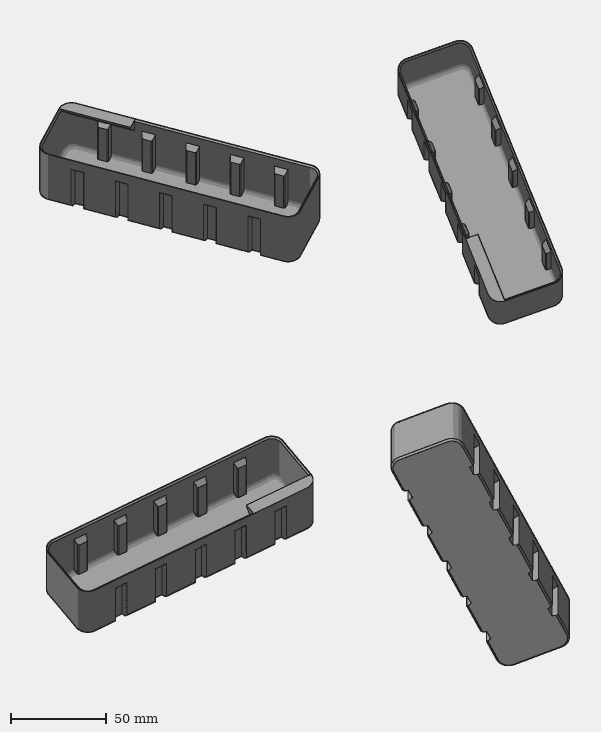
import cadquery as cq

length = 145.0
width = 41.2
height = 33.6
corner_radius = 7.0

wall = 1.2
floor_thickness = 0.9
floor_fillet = 4.0
foot_chamfer = 1.0
rim_edge = 0.3
rim_bevel = wall - rim_edge

channel_count = 5
channel_pitch = 24.6
channel_width = 7.0
channel_depth = 3.0
channel_top = 27.1
rib_width = 8.4
rib_depth = channel_depth + floor_thickness
rib_top = 28.3
side_taper = 0.35
rib_bevel = 0.5

shelf_length = 39.9
shelf_depth = 7.0
shelf_lip = 1.2
shelf_drop = 7.8


def rounded_block(inset, bottom, top):
    """Upright block with rounded corners, set in from the outer faces."""
    return (
        cq.Workplane("XY", origin=(0, 0, bottom))
        .rect(length - 2 * inset, width - 2 * inset)
        .extrude(top - bottom)
        .edges("|Z")
        .fillet(corner_radius - inset)
    )


def tapered_bar(x, bar_width, depth, top):
    """Upright bar behind the front face with tapered sides and a top sloping down at 45 degrees."""
    front = -width / 2
    half_front = bar_width / 2
    half_back = half_front - side_taper * depth
    plan = (
        cq.Workplane("XY")
        .moveTo(x - half_front, front)
        .lineTo(x - half_back, front + depth)
        .lineTo(x + half_back, front + depth)
        .lineTo(x + half_front, front)
        .close()
        .extrude(top)
    )
    slope = (
        cq.Workplane("YZ", origin=(x - half_front, 0, 0))
        .moveTo(front, 0)
        .lineTo(front + depth, 0)
        .lineTo(front + depth, top - depth)
        .lineTo(front, top)
        .close()
        .extrude(bar_width)
    )
    return plan.intersect(slope)


def channel(x):
    return tapered_bar(x, channel_width, channel_depth, channel_top)


def rib(x):
    """Rib bar with its two upright inner edges beveled."""
    bar = tapered_bar(x, rib_width, rib_depth, rib_top)
    return bar.faces(">Y").edges("|Z").chamfer(rib_bevel)


def on_both_walls(make_bar):
    """One bar per channel along the front wall, mirrored onto the back wall."""
    row = cq.Workplane("XY")
    for index in range(channel_count):
        row = row.add(make_bar((index - (channel_count - 1) / 2) * channel_pitch))
    front_row = row.combine()
    return front_row.union(front_row.mirror("XZ"))


def label_shelf():
    """Shelf along the back wall whose underside slopes down to the wall."""
    back = width / 2
    lip_bottom = height - shelf_lip
    return (
        cq.Workplane("YZ", origin=(-length / 2, 0, 0))
        .moveTo(back, height)
        .lineTo(back - shelf_depth, height)
        .lineTo(back - shelf_depth, lip_bottom)
        .lineTo(back, lip_bottom - shelf_drop)
        .close()
        .extrude(shelf_length)
    )


outer_body = rounded_block(0, 0, height).faces("<Z").chamfer(foot_chamfer)
cavity = rounded_block(wall, floor_thickness, height).faces("<Z").edges().fillet(floor_fillet)

rim_flare = rounded_block(rim_edge, height - rim_bevel, height + rim_bevel).faces("<Z").chamfer(rim_bevel)
shell = outer_body.cut(cavity).cut(rim_flare)

fittings = on_both_walls(rib).union(label_shelf()).intersect(outer_body)
result = shell.union(fittings).cut(on_both_walls(channel))